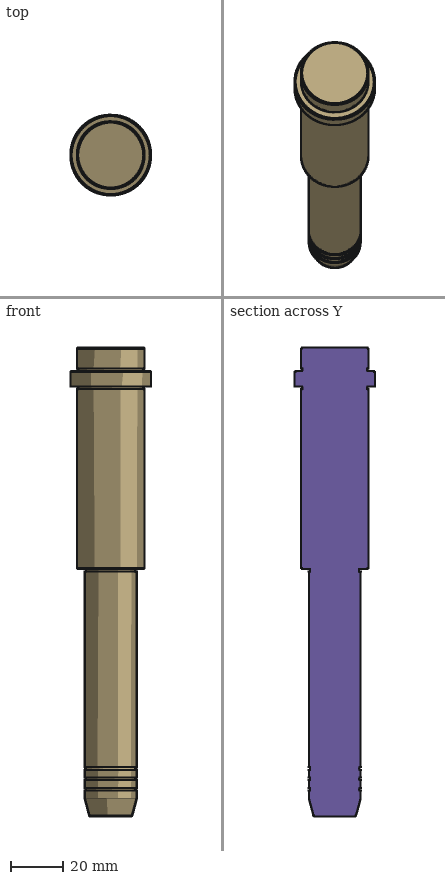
import cadquery as cq

total_length = 180.0
head_height = 9.0
flange_thickness = 6.0
body_length = 70.0
tip_length = 7.0

flange_radius = 15.5
body_radius = 13.0
shank_radius = 10.0

edge_chamfer = 0.5

groove_width = 1.0
groove_depth = groove_width / 2

oil_groove_count = 3
oil_groove_pitch = 4.0

tip_end_radius = 8.25
tip_bulge = 0.05

flange_top = total_length - head_height
flange_bottom = flange_top - flange_thickness
body_bottom = flange_bottom - body_length
first_oil_groove = tip_length + oil_groove_pitch - groove_width / 2


def cylinder(radius, bottom, top):
    return cq.Workplane("XY").workplane(offset=bottom).circle(radius).extrude(top - bottom)


def revolve_about_z(profile):
    """Turn a closed XZ profile once around the Z axis."""
    return profile.revolve(360, (0, 0, 0), (0, 1, 0))


def round_groove(radius, middle):
    """Ring that cuts a groove of semicircular section into a cylinder."""
    half_width = groove_width / 2
    return revolve_about_z(
        cq.Workplane("XZ")
        .moveTo(radius, middle - half_width)
        .threePointArc((radius - groove_depth, middle), (radius, middle + half_width))
        .close()
    )


def square_groove(radius, bottom):
    """Ring that cuts a groove with straight walls into a cylinder."""
    top = bottom + groove_width
    return cylinder(radius, bottom, top).cut(cylinder(radius - groove_depth, bottom, top))


def stepped_pillar():
    """Chamfered body, flange, shank and tip, without grooves."""
    body = cylinder(body_radius, body_bottom, total_length).faces("<Z or >Z").chamfer(edge_chamfer)
    flange = cylinder(flange_radius, flange_bottom, flange_top).faces(">Z").chamfer(edge_chamfer)
    shank = cylinder(shank_radius, tip_length, body_bottom)
    return body.union(flange).union(shank).union(tip())


def tip():
    """Slightly barrelled taper that ends in a small chamfer."""
    middle_radius = (shank_radius + tip_end_radius) / 2 + tip_bulge
    middle_height = (tip_length + edge_chamfer) / 2
    return revolve_about_z(
        cq.Workplane("XZ")
        .moveTo(0, tip_length)
        .lineTo(shank_radius, tip_length)
        .threePointArc((middle_radius, middle_height), (tip_end_radius, edge_chamfer))
        .lineTo(tip_end_radius - edge_chamfer, 0)
        .lineTo(0, 0)
        .close()
    )


result = stepped_pillar()

for groove_middle in (flange_top + groove_width / 2, flange_bottom - groove_width / 2):
    result = result.cut(round_groove(body_radius, groove_middle))

result = result.cut(square_groove(shank_radius, body_bottom - groove_width))

for index in range(oil_groove_count):
    groove_middle = first_oil_groove + index * oil_groove_pitch
    result = result.cut(round_groove(shank_radius, groove_middle))